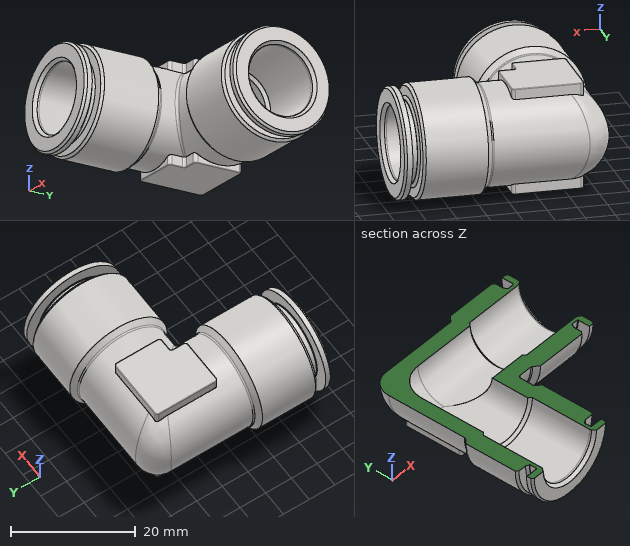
import cadquery as cq
import math


port_length = 26.5
tube_radius = 8.5
collar_radius = 9.5
collar_start = 12.7
cone_blend_radius = 0.45
collar_end = 23.47
collar_chamfer = 0.45
shoulder_radius = 7.45
shoulder_end_radius = 6.88
shoulder_length = 0.32
shoulder_end = collar_end + shoulder_length
neck_radius = 6.75
flange_radius = 9.25
flange_chamfer = 0.4
flange_thickness = 1.3
flange_start = port_length - flange_thickness
flange_root_chamfer = 0.1

cone_angle = math.radians(45)
cone_base = collar_start - (collar_radius - tube_radius)
blend_tangent = cone_blend_radius * math.tan(cone_angle / 2)
blend_rise = blend_tangent * math.sin(cone_angle)
blend_start = cone_base - blend_tangent

bore_radius = 5.47
socket_radius = 6.0
socket_floor = 12.95
socket_start = socket_floor + socket_radius - bore_radius
lip_radius = 6.1
mouth_radius = 6.55
mouth_length = 0.65
lip_length = 0.3
lip_end = port_length - mouth_length
lip_start = lip_end - lip_length

outer_bend_radius = 4.1
inner_bend_radius = 0.45
bend_half_height = 7.4

pad_inset = 4.5
pad_reach = 7.5
pad_base = 6.48
pad_top = 9.0
pad_corner_radius = 0.55
notch_radius = 0.45
pad_edge_radius = 0.1


def revolve_around_x(profile):
    """Revolve a closed (distance, radius) profile around the X port axis."""
    return profile.close().revolve(360, (0, 0), (1, 0))


def turn_to_second_port(port):
    """Turn an X port onto the -Y axis."""
    return port.rotate((0, 0, 0), (0, 0, 1), -90)


def elbow():
    """Mitred tubes, with the outer and inner mitre edges rounded."""
    side = 2 * blend_start
    tube_length = tube_radius + blend_start
    tube_x = cq.Workplane("YZ", origin=(-tube_radius, 0, 0)).circle(tube_radius).extrude(tube_length)
    tube_y = cq.Workplane("XZ", origin=(0, tube_radius, 0)).circle(tube_radius).extrude(tube_length)
    x_half = cq.Workplane("XY").polyline([(-side, side), (side, side), (side, -side)]).close()
    y_half = cq.Workplane("XY").polyline([(-side, side), (-side, -side), (side, -side)]).close()
    tube_x = tube_x.intersect(x_half.extrude(side, both=True))
    tube_y = tube_y.intersect(y_half.extrude(side, both=True))
    plain = tube_x.union(tube_y)

    band = cq.Workplane("XY").box(2 * side, 2 * side, 2 * bend_half_height)
    middle = plain.intersect(band)
    outer_edge = cq.selectors.NearestToPointSelector((-pad_inset, pad_inset, 0))
    inner_edge = cq.selectors.NearestToPointSelector((pad_inset, -pad_inset, 0))
    middle = middle.edges(outer_edge).fillet(outer_bend_radius)
    middle = middle.edges(inner_edge).fillet(inner_bend_radius)
    return plain.cut(band).union(middle)


def collar():
    """Collar, neck and release flange of one port."""
    profile = cq.Workplane("XY").moveTo(blend_start, 0).lineTo(blend_start, tube_radius)
    profile = profile.radiusArc((cone_base + blend_rise, tube_radius + blend_rise), -cone_blend_radius)
    profile = profile.polyline([
        (collar_start, collar_radius),
        (collar_end - collar_chamfer, collar_radius),
        (collar_end, collar_radius - collar_chamfer),
        (collar_end, shoulder_radius),
        (shoulder_end, shoulder_end_radius),
        (shoulder_end, neck_radius),
        (flange_start - flange_root_chamfer, neck_radius),
        (flange_start, neck_radius + flange_root_chamfer),
        (flange_start, flange_radius),
        (port_length - flange_chamfer, flange_radius),
        (port_length, flange_radius - flange_chamfer),
        (port_length, 0),
    ], includeCurrent=True)
    return revolve_around_x(profile)


def bore():
    """Stepped bore of one port, from the elbow centre to the mouth."""
    profile = cq.Workplane("XY").polyline([
        (0, 0),
        (0, bore_radius),
        (socket_floor, bore_radius),
        (socket_start, socket_radius),
        (lip_start, socket_radius),
        (lip_end, lip_radius),
        (port_length, mouth_radius),
        (port_length, 0),
    ])
    return revolve_around_x(profile)


def nearest_upright_edge(x, y):
    """Selector for the pad edge standing at (x, y)."""
    return cq.selectors.NearestToPointSelector((x, y, (pad_base + pad_top) / 2))


def pad():
    """Upper pad: a square with a notch facing the inner corner."""
    notch_corner = (pad_inset, -pad_inset)
    outline = [
        (-pad_inset, pad_inset),
        (pad_reach, pad_inset),
        (pad_reach, -pad_inset),
        notch_corner,
        (pad_inset, -pad_reach),
        (-pad_inset, -pad_reach),
    ]
    block = cq.Workplane("XY", origin=(0, 0, pad_base)).polyline(outline).close()
    block = block.extrude(pad_top - pad_base)
    block = block.edges(nearest_upright_edge(*notch_corner)).fillet(notch_radius)
    for x, y in outline:
        if (x, y) != notch_corner:
            block = block.edges(nearest_upright_edge(x, y)).fillet(pad_corner_radius)
    return block.faces(">Z").edges().fillet(pad_edge_radius)


upper_pad = pad()
lower_pad = upper_pad.mirror("XY")
body = elbow().union(upper_pad).union(lower_pad)
body = body.union(collar()).union(turn_to_second_port(collar()))

cavity = cq.Workplane("XY").sphere(bore_radius).union(bore()).union(turn_to_second_port(bore()))
result = body.cut(cavity)